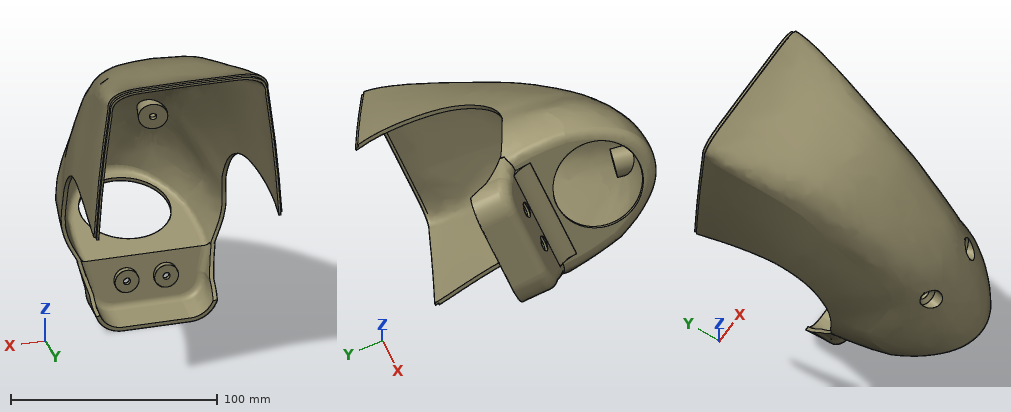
import cadquery as cq
import math

REACH = 159.2
WALL = 2.0
LIP_LENGTH = 1.6
LIP_STEP = 1.0

OPENING_REAR = (0, 80.2)
OPENING_REAR_MIDDLE = (18.5, 87.9)
OPENING_TOP = (38.2, 90.9)
OPENING_SHOULDER = (63.2, 82.6)
OPENING_FRONT = (76.0, 51.1)
OPENING_LOWER = (73.4, 35.5)
OPENING_FOOT = (54.1, 9.9)
CLEARANCE = 8.0

UNDERSIDE_DEPTH = 108.2
UNDERSIDE_HEIGHT = 36.3
UNDERSIDE_SLOPE = math.radians(14.5)
LAMP_DIAMETER = 45.0
LAMP_CUT_DEPTH = 3 * WALL
CHIN_RADIUS = 5.5

FLANGE_BACK = OPENING_FOOT[0]
FLANGE_FRONT = 72.0
FLANGE_LEAN = math.radians(9)
FLANGE_TOP = 31.8
FLANGE_TOP_HALF_WIDTH = 35.0
FLANGE_HALF_WIDTH = 31.5
FLANGE_SIDE_FOOT = 17.5
FLANGE_CORNER = 14.3
FLANGE_FLOOR_RISE = 2.4
FLANGE_EDGE_RADIUS = 5.5

WEB_FRONT = (84.4, 30.1)
WEB_MIDDLE = (77.4, 26.0)
WEB_FOOT = (74.7, 19.5)
WEB_HALF_WIDTH = 27.0

HOLE_DIAMETER = 3.5
SEAT_DIAMETER = 6.0
FLANGE_SEAT_MOUTH = 8.0
NOSE_SEAT_MOUTH = 10.2
FLANGE_CONE_DEPTH = 1.0
FLANGE_SEAT_DEPTH = 1.9
NOSE_CONE_DEPTH = 1.9
NOSE_SEAT_DEPTH = 3.8
FLANGE_SCREW_X = 10.0
FLANGE_SCREW_Z = 17.8
NOSE_SCREW_X = 16.0
NOSE_SCREW_Z = 85.8
NOSE_SCREW_DEPTH = 115.4
NOSE_SCREW_YAW = math.radians(12)
NOSE_SCREW_RISE = math.radians(8)

SEAM = 2
SECTIONS = [
    ((LIP_LENGTH, 63.7), (LIP_LENGTH, 159.2),
     [(48.5, 0), (45.7, 0.45), (40.6, 0.9), (38.5, 0.96), (33.5, 0.987), (19.1, 0.997), (0, 1)]),
    ((28.7, 63.7), (39.5, 149.3),
     [(47.5, 0), (43.5, 0.5), (36.0, 0.88), (32.6, 0.94), (27, 0.975), (15.9, 0.994), (0, 1)]),
    ((44.5, 63.7), (73.7, 135.5),
     [(45.5, 0), (41.4, 0.45), (32.2, 0.79), (28.7, 0.88), (23.1, 0.95), (12.7, 0.988), (0, 1)]),
    ((47.8, 62.1), (97.1, 117.2),
     [(44.9, 0), (40.1, 0.45), (30.0, 0.78), (26.0, 0.875), (20.2, 0.945), (11.1, 0.986), (0, 1)]),
    ((51, 60.5), (115.7, 98.0),
     [(44.5, 0), (39.0, 0.45), (27.7, 0.79), (23.4, 0.87), (17.5, 0.94), (9.5, 0.984), (0, 1)]),
    ((51, 57.3), (129.7, 74.8),
     [(44.5, 0), (41.0, 0.33), (35.5, 0.6), (29.6, 0.77), (21.5, 0.89), (12.0, 0.968), (0, 1)]),
    ((51, 51), (136.1, 53.3),
     [(44.5, 0), (41.7, 0.3), (37.5, 0.57), (31.4, 0.73), (23.9, 0.85), (13.5, 0.955), (0, 1)]),
    ((47.8, 31.8), (128.1, 19.1),
     [(33.7, 0), (32.8, 0.3), (30.5, 0.54), (26.5, 0.72), (19.9, 0.85), (11.1, 0.955), (0, 1)]),
]


def section_wire(section, inset):
    """Closed outline of one fanned section, narrowed and lowered by inset."""
    (base_depth, base_height), (crown_depth, crown_height), half = section
    height = math.hypot(crown_depth - base_depth, crown_height - base_height)
    up = cq.Vector(0, base_depth - crown_depth, crown_height - base_height)
    plane = cq.Plane(
        origin=(0, -base_depth, base_height),
        xDir=(1, 0, 0),
        normal=cq.Vector(1, 0, 0).cross(up),
    )
    narrowing = 1 - inset / half[0][0]
    right = [(x * narrowing, t * (height - inset)) for x, t in half]
    left = [(-x, s) for x, s in reversed(right[:-1])]
    roof = right[SEAM:] + left[:-SEAM]
    return (
        cq.Workplane(plane)
        .moveTo(*right[0])
        .threePointArc(right[1], right[SEAM])
        .spline(roof[1:], includeCurrent=True)
        .threePointArc(left[-2], left[-1])
        .close()
        .val()
    )


def underside_plane():
    """Plane on the underside, its normal pointing down and out of the fairing."""
    return cq.Plane(
        origin=(0, -UNDERSIDE_DEPTH, UNDERSIDE_HEIGHT),
        xDir=(1, 0, 0),
        normal=(0, -math.sin(UNDERSIDE_SLOPE), -math.cos(UNDERSIDE_SLOPE)),
    )


def body(inset):
    """Fairing body above the underside, shrunk on all outer faces by inset."""
    wires = [section_wire(section, inset) for section in SECTIONS]
    skin = cq.occ_impl.shapes.loft(*wires, cap=True, parametrization="chordal", degree=3)
    below = (
        cq.Workplane(underside_plane())
        .workplane(offset=-inset)
        .rect(2 * REACH, 2 * REACH)
        .extrude(REACH)
    )
    solid = cq.Workplane(skin).cut(below)
    underside = cq.selectors.DirectionMinMaxSelector(underside_plane().zDir, True)
    return solid.faces(underside).edges("not %LINE").fillet(CHIN_RADIUS - inset)


def rear_lip(inset):
    """Short straight extension of the rearmost section back to the rear face."""
    wire = section_wire(SECTIONS[0], inset)
    return cq.Workplane(cq.Solid.extrudeLinear(wire, [], cq.Vector(0, LIP_LENGTH, 0)))


def flange_wire(plane, floor, inset):
    """Tapered, round-cornered outline of the tray, its bottom at the floor height."""
    half_width = FLANGE_HALF_WIDTH - inset
    top_half_width = FLANGE_TOP_HALF_WIDTH - inset
    corner = FLANGE_CORNER - inset
    corner_middle = corner * (1 - math.sqrt(0.5))
    bottom = floor + inset
    return (
        cq.Workplane(plane)
        .moveTo(-top_half_width, FLANGE_TOP)
        .lineTo(-half_width, FLANGE_SIDE_FOOT)
        .lineTo(-half_width, bottom + corner)
        .threePointArc(
            (-half_width + corner_middle, bottom + corner_middle),
            (-half_width + corner, bottom),
        )
        .lineTo(half_width - corner, bottom)
        .threePointArc(
            (half_width - corner_middle, bottom + corner_middle),
            (half_width, bottom + corner),
        )
        .lineTo(half_width, FLANGE_SIDE_FOOT)
        .lineTo(top_half_width, FLANGE_TOP)
        .close()
        .val()
    )


def flange(inset):
    """Tray block with a rising floor and a leaning, rounded front."""
    back = cq.Plane(origin=(0, -FLANGE_BACK, 0), xDir=(1, 0, 0), normal=(0, -1, 0))
    front = cq.Plane(
        origin=(0, inset - FLANGE_FRONT, 0),
        xDir=(1, 0, 0),
        normal=(0, -1, -math.tan(FLANGE_LEAN)),
    )
    wires = [flange_wire(back, 0, inset), flange_wire(front, FLANGE_FLOOR_RISE, inset)]
    block = cq.Workplane(cq.Solid.makeLoft(wires, True))
    return block.faces("<Y").edges("not >Z").fillet(FLANGE_EDGE_RADIUS - inset)


def flange_web():
    """Concave web that blends the flange front into the underside."""
    return (
        cq.Workplane("YZ")
        .moveTo(-WEB_FRONT[0], WEB_FRONT[1])
        .threePointArc((-WEB_MIDDLE[0], WEB_MIDDLE[1]), (-WEB_FOOT[0], WEB_FOOT[1]))
        .lineTo(-FLANGE_FRONT, WEB_FRONT[1])
        .close()
        .extrude(WEB_HALF_WIDTH, both=True)
    )


def wheel_opening():
    """Cutter for everything behind the curved edge of the side walls."""
    below = -CLEARANCE
    points = [
        (-depth, height)
        for depth, height in (
            OPENING_REAR, OPENING_REAR_MIDDLE, OPENING_TOP, OPENING_SHOULDER,
            OPENING_FRONT, OPENING_LOWER, OPENING_FOOT,
        )
    ]
    rear, rear_middle, top, shoulder, front, lower, foot = points
    return (
        cq.Workplane("YZ")
        .moveTo(*rear)
        .threePointArc(rear_middle, top)
        .threePointArc(shoulder, front)
        .threePointArc(lower, foot)
        .lineTo(foot[0], below)
        .lineTo(CLEARANCE, below)
        .lineTo(CLEARANCE, rear[1])
        .close()
        .extrude(REACH, both=True)
    )


def lamp_opening():
    """Round cutter square to the underside."""
    return (
        cq.Workplane(underside_plane())
        .workplane(offset=-LAMP_CUT_DEPTH)
        .circle(LAMP_DIAMETER / 2)
        .extrude(REACH)
    )


def screw_seat(plane, mouth, cone_depth, floor_depth, outer):
    """Boss behind the wall, and the stepped hole that enters it from the front.

    The plane lies at the wide end of the cone, its normal pointing out of the part.
    """
    boss_depth = floor_depth + WALL
    at_mouth = cq.Workplane(plane)
    boss = at_mouth.circle(mouth / 2 + WALL).extrude(-boss_depth)
    boss = boss.union(at_mouth.circle(mouth / 2 + WALL).extrude(boss_depth)).intersect(outer)
    cone = cq.Solid.makeCone(
        mouth / 2, SEAT_DIAMETER / 2, cone_depth, pnt=plane.origin, dir=plane.zDir * -1
    )
    hole = (
        at_mouth.circle(mouth / 2).extrude(2 * boss_depth)
        .union(cq.Workplane(cone))
        .union(at_mouth.circle(SEAT_DIAMETER / 2).extrude(-floor_depth))
        .union(at_mouth.circle(HOLE_DIAMETER / 2).extrude(-2 * boss_depth))
    )
    return boss, hole


outer = body(0).union(flange(0)).union(flange_web()).union(rear_lip(LIP_STEP))
inner = body(WALL).union(flange(WALL)).union(rear_lip(WALL))
result = outer.cut(inner).cut(wheel_opening()).cut(lamp_opening())

flange_screw_depth = FLANGE_FRONT + FLANGE_SCREW_Z * math.tan(FLANGE_LEAN)
for side in (-1, 1):
    flange_plane = cq.Plane(
        origin=(side * FLANGE_SCREW_X, -flange_screw_depth, FLANGE_SCREW_Z),
        xDir=(1, 0, 0),
        normal=(0, -1, 0),
    )
    nose_plane = cq.Plane(
        origin=(side * NOSE_SCREW_X, -NOSE_SCREW_DEPTH, NOSE_SCREW_Z),
        xDir=(1, 0, 0),
        normal=(side * math.sin(NOSE_SCREW_YAW), -1, math.sin(NOSE_SCREW_RISE)),
    )
    for plane, mouth, cone_depth, floor_depth in (
        (flange_plane, FLANGE_SEAT_MOUTH, FLANGE_CONE_DEPTH, FLANGE_SEAT_DEPTH),
        (nose_plane, NOSE_SEAT_MOUTH, NOSE_CONE_DEPTH, NOSE_SEAT_DEPTH),
    ):
        boss, hole = screw_seat(plane, mouth, cone_depth, floor_depth, outer)
        result = result.union(boss).cut(hole)